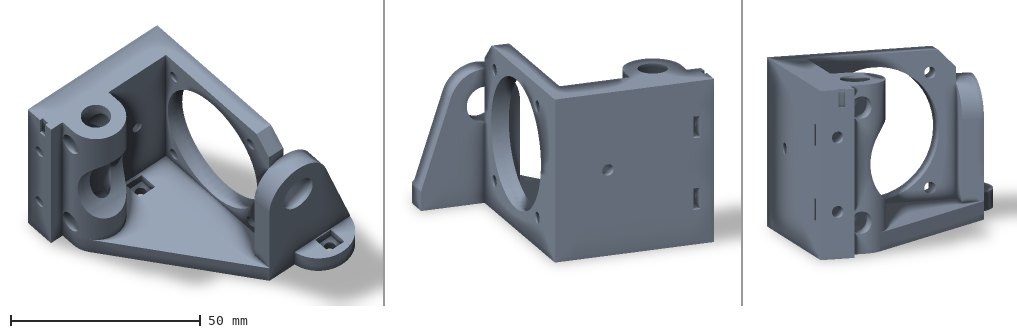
import cadquery as cq
import math

overall_length = 65.0
height = 45.5
side_wall_thickness = 9.35
side_wall_length = 45.0
plate_thickness = 5.0
plate_end_x = 50.85
plate_inner_y = side_wall_length - plate_thickness

ear_end_x = 56.9
ear_thickness = ear_end_x - plate_end_x
ear_radius = 10.0
ear_hole_diameter = 10.0
ear_center_y = side_wall_length
ear_center_z = 27.45
ear_front_y = ear_center_y - ear_radius
ear_back_y = 62.95
ear_back_height = 5.45

tab_radius = 9.75
tab_x = overall_length - tab_radius
tab_y = 53.3
nut_pocket_width = 5.45
nut_pocket_depth = plate_thickness / 2
base_screw_points = [(59.95, tab_y), (13.0, 28.0)]
screw_diameter = 3.2

boss_x = 13.5
boss_y = 12.0
boss_radius = 8.0
rod_diameter = 8.0

motor_x = 28.1
motor_z = 23.9
motor_opening_diameter = 36.0
motor_screw_pitch = 31.0
boss_relief_radius = 12.9
screw_access_diameter = 6.0

side_hole_y = 30.0
front_hole_x = 4.75
front_hole_heights = [12.7, 32.7]
nut_slot_front_y = 3.8
front_hole_depth = nut_slot_front_y
nut_slot_width = 2.1
nut_slot_height = 6.0
nut_slot_depth = 4.0
notch_left_x = 4.95
notch_width = 2.1
notch_depth = 1.0
notch_height = 4.9


def box(x, y, z, size_x, size_y, size_z):
    """Box with its lowest corner at the given point."""
    return cq.Workplane("XY").box(size_x, size_y, size_z, centered=False).translate((x, y, z))


def cylinder(point, direction, diameter, length):
    return cq.Workplane(cq.Solid.makeCylinder(diameter / 2, length, cq.Vector(*point), cq.Vector(*direction)))


def circle_tangent_point(center, radius, outer_point, side):
    """Point where a line from outer_point touches the circle; side 1 is counter-clockwise, -1 clockwise."""
    across = outer_point[0] - center[0]
    up = outer_point[1] - center[1]
    angle = math.atan2(up, across) + side * math.acos(radius / math.hypot(across, up))
    return (center[0] + radius * math.cos(angle), center[1] + radius * math.sin(angle))


def make_back_plate():
    plate = box(0, plate_inner_y, 0, plate_end_x, plate_thickness, height)
    return plate.edges("|Y and >X and >Z").chamfer(plate_thickness)


def make_boss():
    boss = cylinder((boss_x, boss_y, 0), (0, 0, 1), 2 * boss_radius, height)
    web = box(0, boss_y - boss_radius, 0, boss_x, 2 * boss_radius, height)
    return boss.union(web)


def make_base():
    """Sloping base web, tangent to the boss, and the round tab beyond the ear."""
    ear_corner = (ear_end_x, ear_front_y)
    tangent = circle_tangent_point((boss_x, boss_y), boss_radius, ear_corner, -1)
    outline = [
        (0, boss_y),
        (boss_x, boss_y),
        tangent,
        ear_corner,
        (ear_end_x, side_wall_length),
        (0, side_wall_length),
    ]
    web = cq.Workplane("XY").polyline(outline).close().extrude(plate_thickness)
    tab = cylinder((tab_x, tab_y, 0), (0, 0, 1), 2 * tab_radius, plate_thickness)
    outside_ear = box(ear_end_x, 0, 0, tab_radius, ear_back_y, plate_thickness)
    return web.union(tab.intersect(outside_ear))


def make_ear():
    tangent = circle_tangent_point(
        (ear_center_y, ear_center_z), ear_radius, (ear_back_y, ear_back_height), 1
    )
    ear = (
        cq.Workplane("YZ", origin=(plate_end_x, 0, 0))
        .moveTo(ear_front_y, 0)
        .lineTo(ear_back_y, 0)
        .lineTo(ear_back_y, ear_back_height)
        .lineTo(*tangent)
        .threePointArc((ear_center_y, ear_center_z + ear_radius), (ear_front_y, ear_center_z))
        .close()
        .extrude(ear_thickness)
    )
    hole_start = (plate_end_x, ear_center_y, ear_center_z)
    return ear.cut(cylinder(hole_start, (1, 0, 0), ear_hole_diameter, ear_thickness))


def cut_motor_mount(body):
    opening_start = (motor_x, plate_inner_y, motor_z)
    body = body.cut(cylinder(opening_start, (0, 1, 0), motor_opening_diameter, plate_thickness))
    body = body.cut(cylinder((motor_x, 0, motor_z), (0, 1, 0), 2 * boss_relief_radius, plate_inner_y))
    for side_x in (-1, 1):
        for side_z in (-1, 1):
            x = motor_x + side_x * motor_screw_pitch / 2
            z = motor_z + side_z * motor_screw_pitch / 2
            body = body.cut(cylinder((x, 0, z), (0, 1, 0), screw_access_diameter, plate_inner_y))
            body = body.cut(cylinder((x, plate_inner_y, z), (0, 1, 0), screw_diameter, plate_thickness))
    return body


def cut_base_screws(body):
    for x, y in base_screw_points:
        pocket = box(
            x - nut_pocket_width / 2,
            y - nut_pocket_width / 2,
            plate_thickness - nut_pocket_depth,
            nut_pocket_width,
            nut_pocket_width,
            nut_pocket_depth,
        )
        body = body.cut(pocket)
        body = body.cut(cylinder((x, y, 0), (0, 0, 1), screw_diameter, plate_thickness))
    return body


def cut_side_wall_details(body):
    side_hole_start = (0, side_hole_y, motor_z)
    body = body.cut(cylinder(side_hole_start, (1, 0, 0), screw_diameter, side_wall_thickness))
    for z in front_hole_heights:
        body = body.cut(cylinder((front_hole_x, 0, z), (0, 1, 0), screw_diameter, front_hole_depth))
        slot_bottom = z - nut_slot_height / 2
        body = body.cut(
            box(0, nut_slot_front_y, slot_bottom, nut_slot_depth, nut_slot_width, nut_slot_height)
        )
    notch_bottom = height - notch_height
    return body.cut(box(notch_left_x, 0, notch_bottom, notch_width, notch_depth, notch_height))


result = box(0, 0, 0, side_wall_thickness, side_wall_length, height)
for piece in (make_back_plate(), make_boss(), make_base(), make_ear()):
    result = result.union(piece)

rod_bore = cylinder((boss_x, boss_y, plate_thickness), (0, 0, 1), rod_diameter, height - plate_thickness)
result = result.cut(rod_bore)
result = cut_motor_mount(result)
result = cut_base_screws(result)
result = cut_side_wall_details(result)